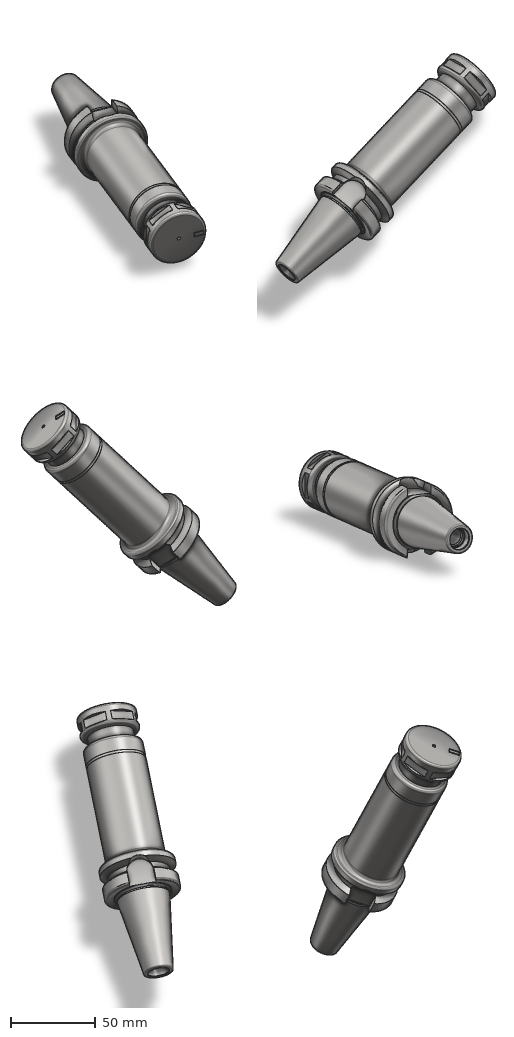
import cadquery as cq
import math

total_length = 168.4

taper_ratio = 7 / 24
gauge_diameter = 31.8
gauge_x = 48.3
shank_end_diameter = gauge_diameter - taper_ratio * gauge_x
shank_end_fillet = 0.8
relief_diameter = 31.2
relief_x = 49.3
root_fillet = 1.0

flange_diameter = 46.0
flange_start_x = 50.4
flange_front_fillet = 1.2
face_groove_diameter = 34.9
face_groove_depth = 0.5
groove_diameter = 37.9
groove_start_x = 58.0
groove_wall_angle = 60.0
groove_end_x = 66.0
flange_end_x = 70.2
flange_back_fillet = 1.0
body_root_fillet = 2.9

slot_width = 16.0
slot_floor_height = 16.3
slot_end_x = 67.0

body_diameter = 36.0
ring_start_x = 135.2
ring_end_x = 136.9
ring_depth = 0.08
body_end_x = 147.2
body_end_fillet = 2.0

neck_diameter = 28.0
nut_diameter = body_diameter
nut_start_x = 154.3
nut_end_x = 167.9
nut_back_fillet = 2.4
nut_front_fillet = 1.5

flat_count = 6
flat_start_x = 157.3
flat_end_x = 162.5
flat_wall_slope = 0.3
flat_distance = 16.3

mark_center_y = 13.0
mark_length = 6.4
mark_width = 2.7

mouth_diameter = 13.3
mouth_depth = 0.5
entry_diameter = 12.8
entry_depth = 5.2
pilot_diameter = 12.0
pilot_start_depth = 5.5
pilot_depth = 7.5
thread_start_depth = 8.5
thread_diameter = 10.5
thread_depth = 33.7
coolant_diameter = 5.0
coolant_depth = 101.0
outlet_diameter = 2.0


def turned_body():
    """Revolve the outer half profile about the X axis and round the small end."""
    flange_r = flange_diameter / 2
    groove_r = groove_diameter / 2
    body_r = body_diameter / 2
    nut_r = nut_diameter / 2
    ring_r = body_r - ring_depth
    relief_r = relief_diameter / 2
    face_groove_x = flange_start_x + face_groove_depth
    face_groove_r = face_groove_diameter / 2
    wall_angle = math.radians(groove_wall_angle)
    wall_length = (flange_r - groove_r) / math.tan(wall_angle)
    groove_floor_start_x = groove_start_x + wall_length
    groove_floor_end_x = groove_end_x - wall_length
    profile = (
        cq.Workplane("XY")
        .moveTo(0, 0)
        .lineTo(0, shank_end_diameter / 2)
        .lineTo(gauge_x, gauge_diameter / 2)
        .lineTo(relief_x, relief_r)
        .lineTo(face_groove_x - root_fillet, relief_r)
        .radiusArc((face_groove_x, relief_r + root_fillet), -root_fillet)
        .lineTo(face_groove_x, face_groove_r)
        .lineTo(flange_start_x, face_groove_r)
        .lineTo(flange_start_x, flange_r - flange_front_fillet)
        .radiusArc((flange_start_x + flange_front_fillet, flange_r), flange_front_fillet)
        .lineTo(groove_start_x, flange_r)
        .lineTo(groove_floor_start_x, groove_r)
        .lineTo(groove_floor_end_x, groove_r)
        .lineTo(groove_end_x, flange_r)
        .lineTo(flange_end_x - flange_back_fillet, flange_r)
        .tangentArcPoint((flange_end_x, flange_r - flange_back_fillet), relative=False)
        .lineTo(flange_end_x, body_r + body_root_fillet)
        .radiusArc((flange_end_x + body_root_fillet, body_r), -body_root_fillet)
        .lineTo(ring_start_x, body_r)
        .lineTo(ring_start_x, ring_r)
        .lineTo(ring_end_x, ring_r)
        .lineTo(ring_end_x, body_r)
        .lineTo(body_end_x - body_end_fillet, body_r)
        .tangentArcPoint((body_end_x, body_r - body_end_fillet), relative=False)
        .lineTo(body_end_x, neck_diameter / 2)
        .lineTo(nut_start_x, neck_diameter / 2)
        .lineTo(nut_start_x, nut_r - nut_back_fillet)
        .radiusArc((nut_start_x + nut_back_fillet, nut_r), nut_back_fillet)
        .lineTo(nut_end_x - nut_front_fillet, nut_r)
        .tangentArcPoint((nut_end_x, nut_r - nut_front_fillet), relative=False)
        .lineTo(nut_end_x, 0)
        .close()
    )
    solid = profile.revolve(360, (0, 0, 0), (1, 0, 0))
    return solid.faces("<X").edges().fillet(shank_end_fillet)


def drive_slot():
    """Round-ended slot cutter that sits above the +Z slot floor."""
    end_radius = slot_width / 2
    arc_center_x = slot_end_x - end_radius
    return (
        cq.Workplane("XY", origin=(0, 0, slot_floor_height))
        .moveTo(flange_start_x, -end_radius)
        .lineTo(arc_center_x, -end_radius)
        .threePointArc((slot_end_x, 0), (arc_center_x, end_radius))
        .lineTo(flange_start_x, end_radius)
        .close()
        .extrude(flange_diameter / 2)
    )


def spanner_flat():
    """Cutter for the flat on the +Y side of the nut, widening outwards."""
    height = nut_diameter / 2 - flat_distance
    widening = height * flat_wall_slope
    return (
        cq.Workplane("XY")
        .moveTo(flat_start_x, flat_distance)
        .lineTo(flat_end_x, flat_distance)
        .lineTo(flat_end_x + widening, flat_distance + height)
        .lineTo(flat_start_x - widening, flat_distance + height)
        .close()
        .extrude(nut_diameter / 2, both=True)
    )


def stepped_bore():
    """Revolved cutter for the bore that runs through the whole part."""
    profile = (
        cq.Workplane("XY")
        .moveTo(0, 0)
        .lineTo(0, mouth_diameter / 2)
        .lineTo(mouth_depth, entry_diameter / 2)
        .lineTo(entry_depth, entry_diameter / 2)
        .lineTo(pilot_start_depth, pilot_diameter / 2)
        .lineTo(pilot_depth, pilot_diameter / 2)
        .lineTo(thread_start_depth, thread_diameter / 2)
        .lineTo(thread_depth, thread_diameter / 2)
        .lineTo(thread_depth, coolant_diameter / 2)
        .lineTo(coolant_depth, coolant_diameter / 2)
        .lineTo(coolant_depth, outlet_diameter / 2)
        .lineTo(total_length, outlet_diameter / 2)
        .lineTo(total_length, 0)
        .close()
    )
    return profile.revolve(360, (0, 0, 0), (1, 0, 0))


def face_mark():
    """Raised mark on the front face of the nut."""
    return (
        cq.Workplane("YZ", origin=(nut_end_x, 0, 0))
        .center(mark_center_y, 0)
        .rect(mark_length, mark_width)
        .extrude(total_length - nut_end_x)
    )


result = turned_body().union(face_mark()).cut(stepped_bore())

for slot_angle in (0, 180):
    result = result.cut(drive_slot().rotate((0, 0, 0), (1, 0, 0), slot_angle))

for index in range(flat_count):
    result = result.cut(spanner_flat().rotate((0, 0, 0), (1, 0, 0), index * 360 / flat_count))